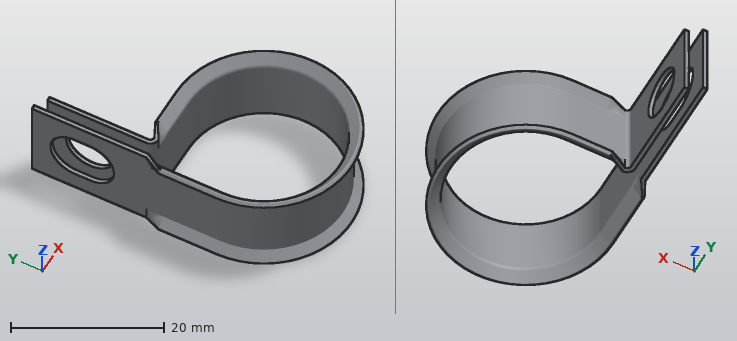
import cadquery as cq
import math

thickness = 0.65
strip_width = 12.7
rim_radius = 13.03
band_radius = 11.77
bore_radius = band_radius - thickness
half_width = strip_width / 2

overall_length = 41.15
outer_tab_end = overall_length - rim_radius
inner_tab_end = 27.0
bend_center_x = -8.4
bend_radius = 1.25
bend_inner_radius = bend_radius - thickness
bend_center_y = bore_radius + bend_radius
hole_diameter = 7.12
slot_length = 9.43
hole_y = outer_tab_end - 7.5

outer_flare_end = 8.6
outer_fade_end = bore_radius
inner_flare_end = -5.8
inner_fade_end = bend_center_x

edge_round = 0.103
flare_bend_radius = 0.103
diagonal = math.sqrt(0.5)
lip_step = (thickness - 2 * edge_round) * diagonal
outer_lip = (rim_radius - edge_round, half_width - edge_round - lip_step)
inner_lip = (outer_lip[0] - lip_step, outer_lip[1] + lip_step)
flare_center_x = band_radius + flare_bend_radius
flare_base = (
    outer_lip[1] - outer_lip[0] + flare_center_x
    - (edge_round + flare_bend_radius) / diagonal
)
flare_center = (flare_center_x, flare_base)


def around(center, radius, degrees):
    """Point on a circle."""
    angle = math.radians(degrees)
    return (center[0] + radius * math.cos(angle), center[1] + radius * math.sin(angle))


def flare_section(plane):
    """Flared rim, with local x as radius and local y as height."""
    inner_bend_radius = flare_bend_radius + thickness
    return (
        plane.moveTo(bore_radius, flare_base)
        .lineTo(band_radius, flare_base)
        .threePointArc(
            around(flare_center, flare_bend_radius, 157.5),
            around(flare_center, flare_bend_radius, 135),
        )
        .lineTo(*around(outer_lip, edge_round, -45))
        .threePointArc(around(outer_lip, edge_round, 0), around(outer_lip, edge_round, 45))
        .lineTo(*around(inner_lip, edge_round, 45))
        .threePointArc(around(inner_lip, edge_round, 90), around(inner_lip, edge_round, 135))
        .lineTo(*around(flare_center, inner_bend_radius, 135))
        .threePointArc(around(flare_center, inner_bend_radius, 157.5), (bore_radius, flare_base))
        .close()
    )


def flat_section(plane):
    """Flat strip edge, with one side for each side of the flared rim."""
    return plane.polyline(
        [
            (bore_radius, flare_base),
            (band_radius, flare_base),
            (band_radius, flare_base + flare_bend_radius),
            (band_radius, half_width - edge_round),
            (band_radius, half_width),
            (bore_radius, half_width),
            (bore_radius, half_width - edge_round),
            (bore_radius, flare_base + flare_bend_radius),
        ]
    ).close()


def straight_rim(flare_end, fade_end):
    """Rim along X on the +Y side, fading to a flat strip at its end."""
    flared = flare_section(cq.Workplane("YZ")).extrude(flare_end)
    fade_start = flare_section(cq.Workplane("YZ", origin=(flare_end, 0, 0)))
    fade = flat_section(fade_start.workplane(offset=fade_end - flare_end)).loft(ruled=True, combine=True)
    return flared.union(fade)


def block(x_min, x_max, y_min, y_max, height):
    return cq.Workplane("XY").box(x_max - x_min, y_max - y_min, height).translate(
        ((x_min + x_max) / 2, (y_min + y_max) / 2, 0)
    )


def three_quarter_turn(section):
    """Revolve a section drawn on XZ from the -X side through -Y and +X to the +Y side."""
    return section.revolve(270, (0, 0), (0, 1)).rotate((0, 0, 0), (0, 0, 1), 180)


def band():
    """Plain middle of the loop with its two straight runs."""
    height = 2 * flare_base
    loop = three_quarter_turn(
        cq.Workplane("XZ").moveTo((bore_radius + band_radius) / 2, 0).rect(thickness, height)
    )
    outer_run = block(-band_radius, -bore_radius, 0, outer_fade_end, height)
    inner_run = block(inner_fade_end, 0, bore_radius, band_radius, height)
    return loop.union(outer_run).union(inner_run)


def rims():
    """Both flared edges of the loop and its straight runs."""
    loop = three_quarter_turn(flare_section(cq.Workplane("XZ")))
    outer_run = straight_rim(outer_flare_end, outer_fade_end).rotate((0, 0, 0), (0, 0, 1), 90)
    inner_run = straight_rim(inner_flare_end, inner_fade_end)
    upper = loop.union(outer_run).union(inner_run)
    return upper.union(upper.mirror("XY"))


def outer_tab():
    """Straight tab with a slot along Y."""
    tab = block(-band_radius, -bore_radius, outer_fade_end, outer_tab_end, strip_width)
    slot = (
        cq.Workplane("YZ", origin=(-band_radius, hole_y, 0))
        .slot2D(slot_length, hole_diameter)
        .extrude(thickness)
    )
    return tab.cut(slot)


def inner_tab():
    """Bent tab with a round hole."""
    outer_x = bend_center_x - bend_radius
    inner_x = bend_center_x - bend_inner_radius
    tab = (
        cq.Workplane("XY", origin=(0, 0, -half_width))
        .moveTo(bend_center_x, bore_radius)
        .radiusArc((outer_x, bend_center_y), bend_radius)
        .lineTo(outer_x, inner_tab_end)
        .lineTo(inner_x, inner_tab_end)
        .lineTo(inner_x, bend_center_y)
        .radiusArc((bend_center_x, band_radius), -bend_inner_radius)
        .close()
        .extrude(strip_width)
    )
    hole = (
        cq.Workplane("YZ", origin=(outer_x, hole_y, 0))
        .circle(hole_diameter / 2)
        .extrude(thickness)
    )
    return tab.cut(hole)


result = band().union(rims()).union(outer_tab()).union(inner_tab())